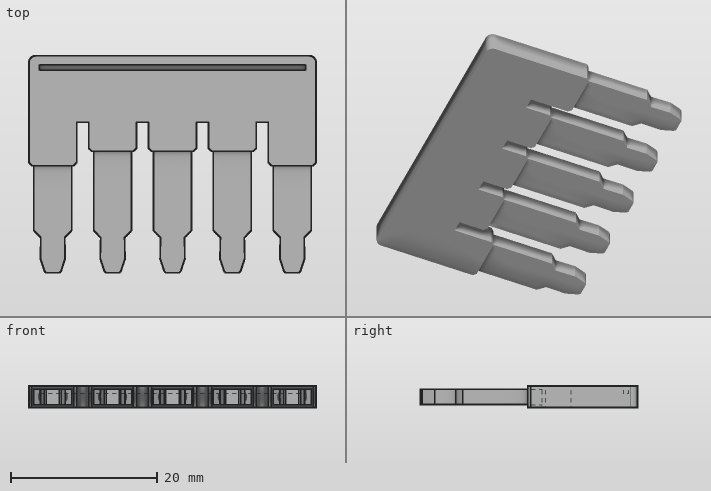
import cadquery as cq

BODY_WIDTH = 39.3
OVERALL_LENGTH = 29.7
BODY_THICKNESS = 3.0

TOOTH_COUNT = 5
TOOTH_WIDTH = 6.55
PITCH = (BODY_WIDTH - TOOTH_WIDTH) / (TOOTH_COUNT - 1)
SPINE_LENGTH = 9.1
END_TOOTH_REACH = 15.05
INNER_TOOTH_REACH = 13.1
TOOTH_CHAMFER = 0.45
BACK_CORNER_RADIUS = 1.0

PRONG_THICKNESS = 2.12
PRONG_WIDTH = 5.23
NECK_WIDTH = 3.3
BULGE_WIDTH = 3.4
TIP_WIDTH = 2.28
TIP_CHAMFER = 0.25
SHOULDER_START = 5.8
SHOULDER_END = 4.85
TAPER_START = 1.95

GROOVE_SIDE_MARGIN = 1.4
GROOVE_BACK_MARGIN = 1.25
GROOVE_WIDTH = 0.7
GROOVE_DEPTH = 1.0
GROOVE_CORNER_RADIUS = 0.2

BACK_Y = OVERALL_LENGTH / 2
TIP_Y = -OVERALL_LENGTH / 2


def tooth_center(index):
    return (index - (TOOTH_COUNT - 1) / 2) * PITCH


def tooth_reach(index):
    is_end = index in (0, TOOTH_COUNT - 1)
    return END_TOOTH_REACH if is_end else INNER_TOOTH_REACH


def plate(width, length, thickness, center_x):
    """Flat block centred on Z = 0 that runs forward from the back edge."""
    return cq.Workplane("XY").box(width, length, thickness).translate((center_x, BACK_Y - length / 2, 0))


def make_tooth(index):
    """Tooth block running forward from the back edge, front corners chamfered."""
    tooth = plate(TOOTH_WIDTH, tooth_reach(index), BODY_THICKNESS, tooth_center(index))
    return tooth.faces("<Y").edges("|Z").chamfer(TOOTH_CHAMFER)


def make_body():
    body = plate(BODY_WIDTH, SPINE_LENGTH, BODY_THICKNESS, 0)
    for index in range(TOOTH_COUNT):
        body = body.union(make_tooth(index))
    return body.faces(">Y").edges("|Z").fillet(BACK_CORNER_RADIUS)


def make_prong(index):
    """Stepped contact blade, rooted inside the body at the end of the spine."""
    half_outline = [
        (PRONG_WIDTH / 2, BACK_Y - SPINE_LENGTH),
        (PRONG_WIDTH / 2, TIP_Y + SHOULDER_START),
        (NECK_WIDTH / 2, TIP_Y + SHOULDER_END),
        (BULGE_WIDTH / 2, TIP_Y + TAPER_START),
        (TIP_WIDTH / 2, TIP_Y + TIP_CHAMFER),
        (TIP_WIDTH / 2 - TIP_CHAMFER, TIP_Y),
    ]
    mirrored_half = [(-x, y) for x, y in reversed(half_outline)]
    return (
        cq.Workplane("XY")
        .polyline(half_outline + mirrored_half)
        .close()
        .extrude(PRONG_THICKNESS / 2, both=True)
        .translate((tooth_center(index), 0, 0))
    )


def make_groove():
    groove_length = BODY_WIDTH - 2 * GROOVE_SIDE_MARGIN
    groove_y = BACK_Y - GROOVE_BACK_MARGIN - GROOVE_WIDTH / 2
    groove_z = BODY_THICKNESS / 2 - GROOVE_DEPTH / 2
    return (
        cq.Workplane("XY")
        .box(groove_length, GROOVE_WIDTH, GROOVE_DEPTH)
        .edges("|Z")
        .fillet(GROOVE_CORNER_RADIUS)
        .translate((0, groove_y, groove_z))
    )


result = make_body()
for prong_index in range(TOOTH_COUNT):
    result = result.union(make_prong(prong_index))
result = result.cut(make_groove())